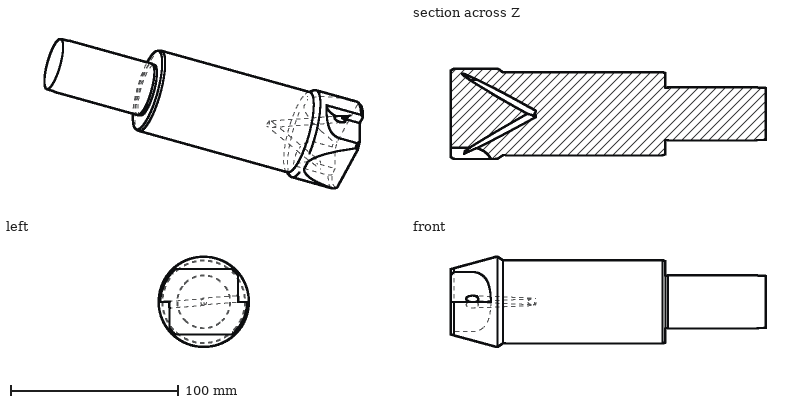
import cadquery as cq
import math

total_length = 188.4
nose_bevel_length = 1.9
flat_end = 26.7
head_end = 27.9
head_edge_length = 0.5
neck_start = 31.3
neck_end = 32.4
body_end = 128.3
shank_start = 130.0
shank_end = 183.0
tip_start = 183.9

head_radius = 54.0 / 2
nose_bevel_height = 1.1
head_edge_height = 0.2
neck_radius = 49.7 / 2
body_radius = 50.0 / 2
body_lead_in = 0.5
body_bevel = 1.7
body_bevel_height = 0.5
shank_radius = 32.0 / 2
tip_radius = 31.5 / 2
tip_bevel = 1.5
tip_bevel_height = 0.2

flat_nose_height = 19.5
flat_end_depth = 0.2

pocket_wall_offset = 20.3
pocket_straight_length = 13.0
pocket_runout_radius = 12.5

coolant_radius = 4.0 / 2
coolant_exit_x = 13.4
coolant_exit_height = 1.7
coolant_angle = 29.0
coolant_rise_angle = 2.0

clearance = 2 * head_radius


def turned_blank():
    profile = [
        (0, 0),
        (0, head_radius - nose_bevel_height),
        (nose_bevel_length, head_radius),
        (head_end, head_radius),
        (head_end + head_edge_length, head_radius - head_edge_height),
        (neck_start, neck_radius),
        (neck_end, neck_radius),
        (neck_end + body_lead_in, body_radius),
        (body_end - body_bevel, body_radius),
        (body_end, body_radius - body_bevel_height),
        (body_end, tip_radius),
        (shank_start, tip_radius),
        (shank_start, shank_radius),
        (shank_end, shank_radius),
        (tip_start, tip_radius),
        (total_length - tip_bevel, tip_radius),
        (total_length, tip_radius - tip_bevel_height),
        (total_length, 0),
    ]
    return cq.Workplane("XY").polyline(profile).close().revolve(360, (0, 0, 0), (1, 0, 0))


def top_flat_cutter():
    wedge = [
        (0, flat_nose_height),
        (flat_end, head_radius - flat_end_depth),
        (flat_end, clearance),
        (0, clearance),
    ]
    return cq.Workplane("XZ").polyline(wedge).close().extrude(clearance, both=True)


def pocket_cutter():
    arc_center_y = -pocket_wall_offset - pocket_runout_radius
    arc_end_x = pocket_straight_length + pocket_runout_radius
    diagonal = pocket_runout_radius * math.sqrt(0.5)
    arc_middle = (pocket_straight_length + diagonal, arc_center_y + diagonal)
    return (
        cq.Workplane("XY")
        .moveTo(0, -pocket_wall_offset)
        .lineTo(pocket_straight_length, -pocket_wall_offset)
        .threePointArc(arc_middle, (arc_end_x, arc_center_y))
        .lineTo(0, arc_center_y)
        .close()
        .extrude(clearance)
    )


def coolant_cutter():
    run_x = pocket_wall_offset / math.tan(math.radians(coolant_angle))
    rise = math.hypot(run_x, pocket_wall_offset) * math.tan(math.radians(coolant_rise_angle))
    start = cq.Vector(coolant_exit_x + run_x, 0, coolant_exit_height - rise)
    direction = cq.Vector(-run_x, -pocket_wall_offset, rise)
    length = direction.Length + clearance / 2
    return cq.Workplane(cq.Solid.makeCylinder(coolant_radius, length, start, direction))


result = turned_blank()
for half_turn in (0, 180):
    for cutter in (top_flat_cutter(), pocket_cutter(), coolant_cutter()):
        result = result.cut(cutter.rotate((0, 0, 0), (1, 0, 0), half_turn))